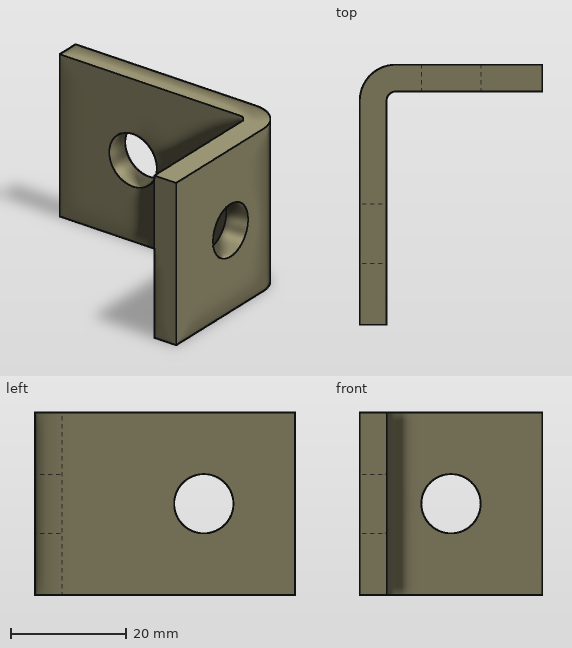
import cadquery as cq

long_leg = 45.25
width = 31.75
short_leg = width
thickness = 4.7
inner_bend_radius = 1.6
hole_diameter = 10.25

outer_bend_radius = inner_bend_radius + thickness
hole_edge_distance = width / 2
hole_height = width / 2


def bent_plate():
    """L-shaped plate with its outer corner at X = 0, Y = long_leg."""
    profile = (
        cq.Workplane("XY")
        .polyline([
            (0, 0),
            (thickness, 0),
            (thickness, long_leg - thickness),
            (short_leg, long_leg - thickness),
            (short_leg, long_leg),
            (0, long_leg),
        ])
        .close()
    )
    plate = profile.extrude(width)
    outer_corner = cq.selectors.NearestToPointSelector((0, long_leg, width / 2))
    inner_corner = cq.selectors.NearestToPointSelector(
        (thickness, long_leg - thickness, width / 2)
    )
    plate = plate.edges(outer_corner).fillet(outer_bend_radius)
    return plate.edges(inner_corner).fillet(inner_bend_radius)


def leg_hole(start, direction):
    """Cylinder that cuts a round hole through one leg."""
    return cq.Workplane(
        cq.Solid.makeCylinder(hole_diameter / 2, thickness, cq.Vector(*start), cq.Vector(*direction))
    )


long_leg_hole = leg_hole((0, hole_edge_distance, hole_height), (1, 0, 0))
short_leg_hole = leg_hole(
    (short_leg - hole_edge_distance, long_leg - thickness, hole_height), (0, 1, 0)
)

result = bent_plate().cut(long_leg_hole).cut(short_leg_hole)